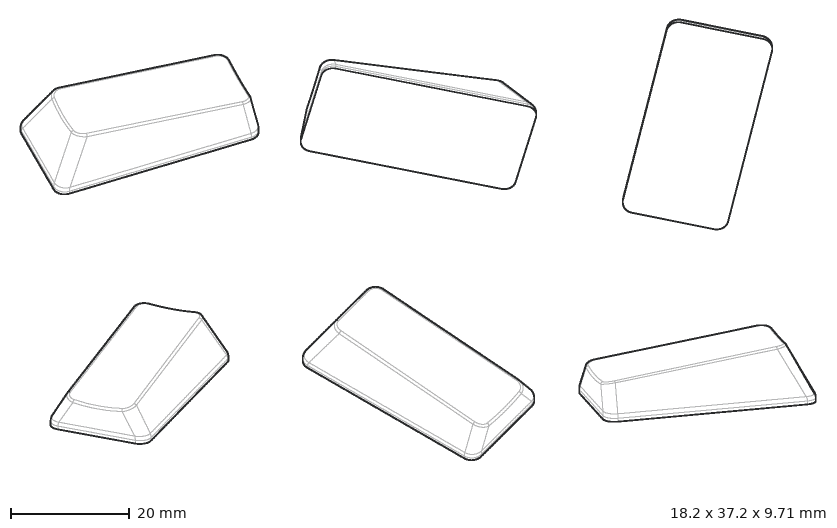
import cadquery as cq
import math

width = 18.15
length = 37.2
corner_radius = 2.0

skirt_height = 0.67
bend_height = 0.75
bend_side_inset = 0.15
bend_front_inset = 0.2
bend_back_inset = 0.05

top_width = 12.0
top_front_y = -13.85
top_back_y = 18.2
top_height = 8.45
top_tilt = math.radians(6.9)

dish_radius = 30.0
dish_floor = 7.63
dish_length = 2 * length
rim_fillet = 0.45


def rounded_rectangle(size_x, size_y):
    return cq.Sketch().rect(size_x, size_y).vertices().fillet(corner_radius)


def bend_section(share):
    """Outline at a share of the bend height; its inset grows with the square, so it starts upright."""
    inset_share = share ** 2
    front_inset = bend_front_inset * inset_share
    back_inset = bend_back_inset * inset_share
    size_x = width - 2 * bend_side_inset * inset_share
    size_y = length - front_inset - back_inset
    centre = cq.Vector(0, (front_inset - back_inset) / 2, skirt_height + bend_height * share)
    return rounded_rectangle(size_x, size_y).moved(cq.Location(centre))


def top_section():
    """Outline of the wall tops, lying on the tilted plane."""
    middle_y = (top_front_y + top_back_y) / 2
    size_y = (top_back_y - top_front_y) / math.cos(top_tilt)
    plane = cq.Plane(
        origin=(0, middle_y, top_height - middle_y * math.tan(top_tilt)),
        xDir=(1, 0, 0),
        normal=(0, math.sin(top_tilt), math.cos(top_tilt)),
    )
    return rounded_rectangle(top_width, size_y).moved(plane.location)


def make_skirt():
    return cq.Workplane().placeSketch(rounded_rectangle(width, length)).extrude(skirt_height)


def make_bend():
    sections = [bend_section(share) for share in (0, 0.5, 1)]
    return cq.Workplane().placeSketch(*sections).loft()


def make_walls():
    return cq.Workplane().placeSketch(bend_section(1), top_section()).loft(ruled=True)


def make_dish():
    axis = cq.Vector(0, math.cos(top_tilt), -math.sin(top_tilt))
    axis_middle = cq.Vector(0, 0, dish_floor + dish_radius / math.cos(top_tilt))
    start = axis_middle - axis * (dish_length / 2)
    return cq.Workplane(cq.Solid.makeCylinder(dish_radius, dish_length, start, axis))


def round_rim(key):
    """Round the edge all around the dish."""
    dish_face = cq.selectors.NearestToPointSelector((0, 0, dish_floor))
    return key.faces(dish_face).edges().fillet(rim_fillet)


body = make_skirt().union(make_bend()).union(make_walls())
result = round_rim(body.cut(make_dish()))